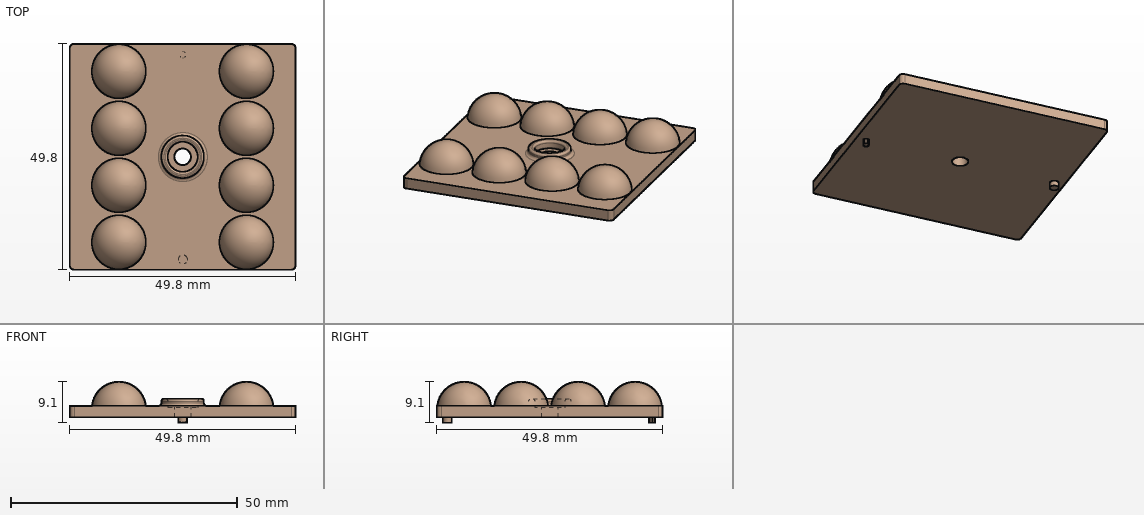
import cadquery as cq

PLATE_SIDE = 49.8
PLATE_THICKNESS = 2.5
CORNER_RADIUS = 1.0

DOME_SPHERE_RADIUS = 6.0
DOME_HEIGHT = 5.35
DOME_COLUMNS = 2
DOME_ROWS = 4
COLUMN_PITCH = 28.1
ROW_PITCH = 12.55

COLLAR_OUTER_RADIUS = 4.7
COLLAR_INNER_RADIUS = 3.3
COLLAR_HEIGHT = 1.6
COLLAR_RIM_FILLET = 0.55
COLLAR_BASE_FILLET = 0.7
RECESS_DEPTH = 0.3
HOLE_RADIUS = 1.8

PIN_LENGTH = 1.25
PIN_OFFSET = 22.55
ROUND_PIN_DIAMETER = 2.0
OCTAGON_PIN_FLATS = 1.3
OCTAGON_SIDES = 8


def make_plate():
    plate = cq.Workplane("XY").box(PLATE_SIDE, PLATE_SIDE, PLATE_THICKNESS, centered=(True, True, False))
    return plate.edges("|Z").fillet(CORNER_RADIUS).translate((0, 0, -PLATE_THICKNESS))


def make_domes():
    """Spheres sunk below the plate top, keeping only the caps above it."""
    sphere_depth = DOME_SPHERE_RADIUS - DOME_HEIGHT
    spheres = (
        cq.Workplane("XY", origin=(0, 0, -sphere_depth))
        .rarray(COLUMN_PITCH, ROW_PITCH, DOME_COLUMNS, DOME_ROWS)
        .sphere(DOME_SPHERE_RADIUS)
    )
    above_plate = cq.Workplane("XY").box(
        PLATE_SIDE, PLATE_SIDE, DOME_SPHERE_RADIUS, centered=(True, True, False)
    )
    return spheres.intersect(above_plate)


def make_collar():
    """Raised ring around the hole, flared into the plate at its foot."""
    rim_start = COLLAR_HEIGHT - COLLAR_RIM_FILLET
    foot_radius = COLLAR_OUTER_RADIUS + COLLAR_BASE_FILLET
    profile = (
        cq.Workplane("XZ")
        .moveTo(COLLAR_INNER_RADIUS, 0)
        .lineTo(foot_radius, 0)
        .radiusArc((COLLAR_OUTER_RADIUS, COLLAR_BASE_FILLET), COLLAR_BASE_FILLET)
        .lineTo(COLLAR_OUTER_RADIUS, rim_start)
        .radiusArc((COLLAR_OUTER_RADIUS - COLLAR_RIM_FILLET, COLLAR_HEIGHT), -COLLAR_RIM_FILLET)
        .lineTo(COLLAR_INNER_RADIUS + COLLAR_RIM_FILLET, COLLAR_HEIGHT)
        .radiusArc((COLLAR_INNER_RADIUS, rim_start), -COLLAR_RIM_FILLET)
        .close()
    )
    return profile.revolve(360, (0, 0, 0), (0, 1, 0))


def make_hole():
    """Through hole with a shallow recess continuing the collar bore."""
    recess = cq.Workplane("XY").circle(COLLAR_INNER_RADIUS).extrude(-RECESS_DEPTH)
    bore = cq.Workplane("XY").circle(HOLE_RADIUS).extrude(-PLATE_THICKNESS)
    return recess.union(bore)


def make_pins():
    """A round pin on the -Y side and a slimmer octagonal pin on the +Y side."""
    underside = cq.Workplane("XY", origin=(0, 0, -PLATE_THICKNESS))
    round_pin = underside.center(0, -PIN_OFFSET).circle(ROUND_PIN_DIAMETER / 2).extrude(-PIN_LENGTH)
    half_side_angle = 180 / OCTAGON_SIDES
    octagon_pin = (
        underside
        .polygon(OCTAGON_SIDES, OCTAGON_PIN_FLATS, circumscribed=True)
        .extrude(-PIN_LENGTH)
        .rotate((0, 0, 0), (0, 0, 1), half_side_angle)
        .translate((0, PIN_OFFSET, 0))
    )
    return round_pin.union(octagon_pin)


body = make_plate().union(make_domes()).union(make_collar())
result = body.cut(make_hole()).union(make_pins()).clean()